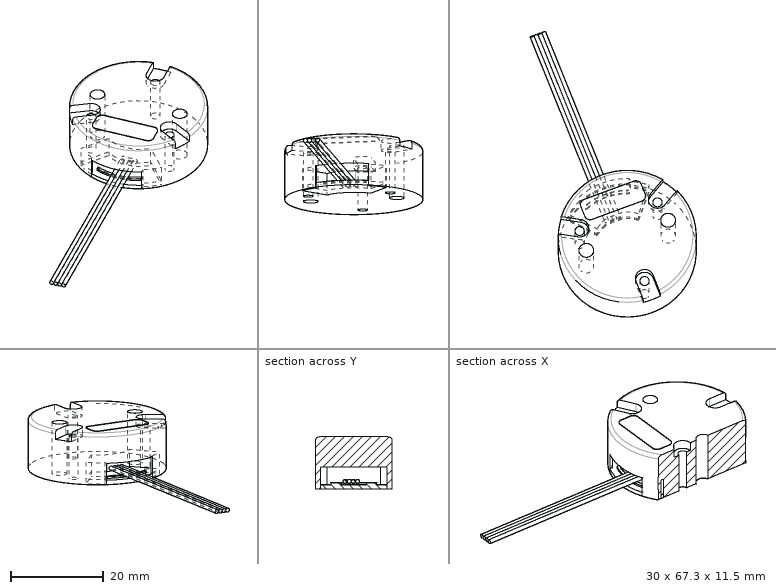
import cadquery as cq
import math

outer_radius = 14.98
height = 11.45
rim_round = 0.75

seat_count = 3
seat_circle_radius = 10.45
seat_first_angle = 90.0
seat_width = 4.0
seat_depth = 2.0
seat_hole_diameter = 2.0

mount_hole_diameter = 3.15
mount_hole_offset = 9.5

panel_length = 14.0
panel_width = 4.85
panel_corner = 1.2
panel_depth = 0.1
panel_center_y = -8.55

wall_thickness = 0.7
pocket_outer_radius = outer_radius - wall_thickness
hub_radius = 7.4
pocket_half_angle = 40.5
hub_flat_width = 3.4
hub_flat_y = -math.sqrt(hub_radius**2 - (hub_flat_width / 2) ** 2)
pocket_height = 4.8

window_width = 11.6

cover_thickness = 1.0
rib_outer_radius = 13.4
rib_inner_radius = 12.7
rib_length = 10.1
rib_height = 0.4

wire_count = 4
wire_radius = 0.45
wire_pitch = 2 * wire_radius
cable_center_x = 0.55
cable_center_z = 1.7
total_length = 67.3
wire_start_y = hub_flat_y
wire_end_y = outer_radius - total_length


def polar_point(radius, angle):
    """Point at a radius and an angle in degrees from +X."""
    return (radius * math.cos(math.radians(angle)), radius * math.sin(math.radians(angle)))


def front_slab(width, slab_height):
    """Block of a given width from the axis to beyond the -Y side of the rim."""
    slab_length = 2 * outer_radius
    slab = cq.Workplane("XY").box(width, slab_length, slab_height, centered=(True, False, False))
    return slab.translate((0, -slab_length, 0))


def pocket_sector(sector_height):
    """Annular sector centred on -Y whose inner arc is interrupted by the flat of the hub."""
    start_angle = -90 - pocket_half_angle
    end_angle = -90 + pocket_half_angle
    flat_half_angle = math.degrees(math.asin(hub_flat_width / 2 / hub_radius))
    mid_angle = (pocket_half_angle + flat_half_angle) / 2
    return (
        cq.Workplane("XY")
        .moveTo(*polar_point(pocket_outer_radius, start_angle))
        .threePointArc((0, -pocket_outer_radius), polar_point(pocket_outer_radius, end_angle))
        .lineTo(*polar_point(hub_radius, end_angle))
        .threePointArc(polar_point(hub_radius, -90 + mid_angle), (hub_flat_width / 2, hub_flat_y))
        .lineTo(-hub_flat_width / 2, hub_flat_y)
        .threePointArc(polar_point(hub_radius, -90 - mid_angle), polar_point(hub_radius, start_angle))
        .close()
        .extrude(sector_height)
    )


def screw_seat(angle):
    """Slot with a round inner end and a through hole, pointing outward at an angle."""
    seat_plane = cq.Workplane("XY", origin=(seat_circle_radius, 0, height - seat_depth))
    round_end = seat_plane.circle(seat_width / 2).extrude(seat_depth)
    straight_part = seat_plane.box(outer_radius, seat_width, seat_depth, centered=(False, True, False))
    hole = cq.Workplane("XY").center(seat_circle_radius, 0).circle(seat_hole_diameter / 2).extrude(height)
    return round_end.union(straight_part).union(hole).rotate((0, 0, 0), (0, 0, 1), angle)


def make_housing():
    housing = cq.Workplane("XY").circle(outer_radius).extrude(height)
    housing = housing.faces(">Z").edges().fillet(rim_round)

    for index in range(seat_count):
        housing = housing.cut(screw_seat(seat_first_angle + index * 360 / seat_count))

    mount_holes = (
        cq.Workplane("XY")
        .pushPoints([(-mount_hole_offset, 0), (mount_hole_offset, 0)])
        .circle(mount_hole_diameter / 2)
        .extrude(height)
    )
    housing = housing.cut(mount_holes)

    panel = (
        cq.Workplane("XY", origin=(0, panel_center_y, height - panel_depth))
        .rect(panel_length, panel_width)
        .extrude(panel_depth)
        .edges("|Z")
        .fillet(panel_corner)
    )
    housing = housing.cut(panel)

    window_inner_radius = pocket_outer_radius - wall_thickness
    pocket_core = cq.Workplane("XY").circle(window_inner_radius).extrude(pocket_height)
    window = front_slab(window_width, pocket_height).cut(pocket_core)
    return housing.cut(pocket_sector(pocket_height)).cut(window)


def make_wire(index):
    """One wire of the cable, counted from the -X side."""
    x = cable_center_x + (index - (wire_count - 1) / 2) * wire_pitch
    return (
        cq.Workplane("XZ", origin=(x, wire_start_y, cable_center_z))
        .circle(wire_radius)
        .extrude(wire_start_y - wire_end_y)
    )


def make_cover(wires):
    """Pocket-shaped plate with a tab and a curved rib grooved for the wires."""
    tab_disc = cq.Workplane("XY").circle(outer_radius).circle(rib_outer_radius).extrude(cover_thickness)
    tab = front_slab(window_width, cover_thickness).intersect(tab_disc)

    rib_top = cover_thickness + rib_height
    rib_ring = cq.Workplane("XY").circle(rib_outer_radius).circle(rib_inner_radius).extrude(rib_top)
    rib = front_slab(rib_length, rib_top).intersect(rib_ring)

    cover = pocket_sector(cover_thickness).union(tab).union(rib)
    for wire in wires:
        cover = cover.cut(wire)
    return cover


wires = [make_wire(index) for index in range(wire_count)]
housing = make_housing()
cover = make_cover(wires)

result = cq.Compound.makeCompound([housing.val(), cover.val(), *[wire.val() for wire in wires]])